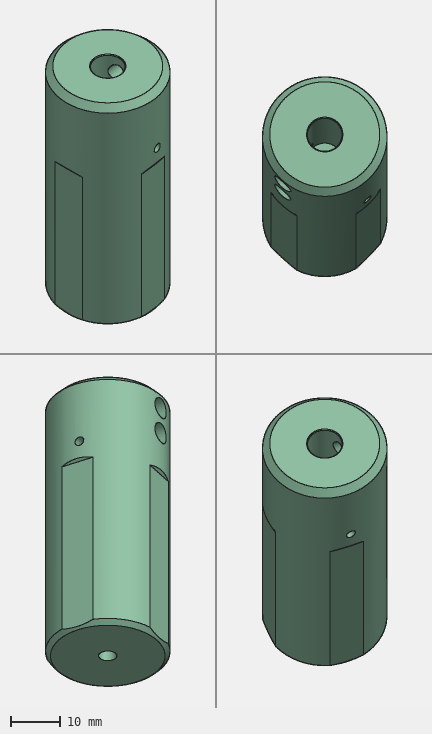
import cadquery as cq
import math

length = 60.0
body_diameter = 25.4
body_radius = body_diameter / 2
top_chamfer = 1.5
bottom_chamfer = 1.0

socket_diameter = 7.0
socket_depth = 18.0
socket_chamfer = 0.2
through_diameter = 3.7

flat_count = 4
flat_width = 7.3
flat_distance = math.sqrt(body_radius**2 - (flat_width / 2) ** 2)
flat_top = 40.0

screw_diameter = 4.5
screw_depths = (4.5, 10.5)

pin_diameter = 2.0
pin_offset = 0.8
pin_depth = 15.5


def make_body():
    body = cq.Workplane("XY").circle(body_radius).extrude(length)
    return body.faces(">Z").chamfer(top_chamfer).faces("<Z").chamfer(bottom_chamfer)


def make_bore():
    through = cq.Workplane("XY").circle(through_diameter / 2).extrude(length)
    socket_radius = socket_diameter / 2
    floor = length - socket_depth
    socket = (
        cq.Workplane("XZ")
        .moveTo(0, floor)
        .lineTo(socket_radius, floor)
        .lineTo(socket_radius, length - socket_chamfer)
        .lineTo(socket_radius + socket_chamfer, length)
        .lineTo(0, length)
        .close()
        .revolve(360, (0, 0), (0, 1))
    )
    return through.union(socket)


def make_flat_cutter():
    """Material outside the +X flat, with the shoulder sloping up and outward."""
    outer = body_diameter
    return (
        cq.Workplane("XZ")
        .moveTo(flat_distance, 0)
        .lineTo(outer, 0)
        .lineTo(outer, flat_top + outer - flat_distance)
        .lineTo(flat_distance, flat_top)
        .close()
        .extrude(body_radius, both=True)
    )


def make_screw_hole(depth):
    """Radial hole from the axis out through the +Y side."""
    return (
        cq.Workplane("XZ")
        .center(0, length - depth)
        .circle(screw_diameter / 2)
        .extrude(-body_diameter)
    )


def make_pin_hole():
    return (
        cq.Workplane("YZ")
        .center(pin_offset, length - pin_depth)
        .circle(pin_diameter / 2)
        .extrude(body_diameter, both=True)
    )


result = make_body().cut(make_bore())

flat_cutter = make_flat_cutter()
for index in range(flat_count):
    angle = index * 360 / flat_count
    result = result.cut(flat_cutter.rotate((0, 0, 0), (0, 0, 1), angle))

for screw_depth in screw_depths:
    result = result.cut(make_screw_hole(screw_depth))

result = result.cut(make_pin_hole())